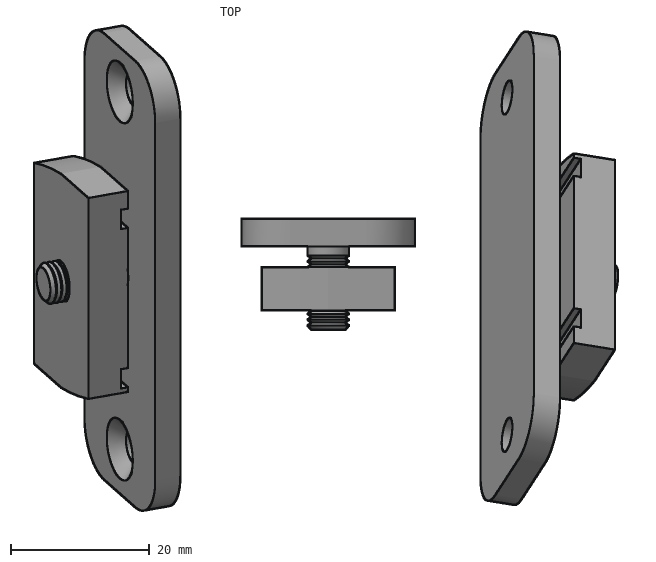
import cadquery as cq

PLATE_WIDTH = 25.0
PLATE_HEIGHT = 70.0
PLATE_THICKNESS = 4.0
PLATE_CORNER_RADIUS = 7.0
SCREW_HOLE_OFFSET = 28.0
SCREW_HOLE_DIAMETER = 5.0
COUNTERSINK_DIAMETER = 9.2
COUNTERSINK_ANGLE = 90.0

BLOCK_GAP = 3.0
BLOCK_WIDTH = 19.2
BLOCK_HEIGHT = 33.5
BLOCK_THICKNESS = 6.2
BLOCK_ARC_DROP = 2.0
BLOCK_ARC_RADIUS = 52.5
SLOT_DEPTH = 1.05
SLOT_WIDTH = 3.0
SLOT_OUTER_OFFSET = 14.0

STUD_LENGTH = 12.05
STUD_DIAMETER = 6.0
SHANK_LENGTH = 1.3
THREAD_ROOT_DIAMETER = 4.9
THREAD_PITCH = 0.85
THREAD_CREST_COUNT = 12

BLOCK_BACK_Y = -BLOCK_GAP
STUD_RADIUS = STUD_DIAMETER / 2
THREAD_ROOT_RADIUS = THREAD_ROOT_DIAMETER / 2


def front_plane(y):
    """Workplane at Y = y whose normal points toward -Y, with X to the right and Z up."""
    return cq.Workplane("XZ", origin=(0, y, 0))


def make_plate():
    """Rounded plate with a countersunk screw hole near each end."""
    plate = (
        front_plane(PLATE_THICKNESS)
        .rect(PLATE_WIDTH, PLATE_HEIGHT)
        .extrude(PLATE_THICKNESS)
        .edges("|Y")
        .fillet(PLATE_CORNER_RADIUS)
    )
    return (
        plate.faces("<Y")
        .workplane(origin=(0, 0, 0))
        .pushPoints([(0, -SCREW_HOLE_OFFSET), (0, SCREW_HOLE_OFFSET)])
        .cskHole(SCREW_HOLE_DIAMETER, COUNTERSINK_DIAMETER, COUNTERSINK_ANGLE)
    )


def make_block():
    """Clamp block with one arched half at each end, two cross slots in its back and a stud hole."""
    half_width = BLOCK_WIDTH / 2
    half_height = BLOCK_HEIGHT / 2
    corner_z = half_height - BLOCK_ARC_DROP
    block = (
        front_plane(BLOCK_BACK_Y)
        .moveTo(half_width, half_height)
        .lineTo(0, half_height)
        .radiusArc((-half_width, corner_z), -BLOCK_ARC_RADIUS)
        .lineTo(-half_width, -half_height)
        .lineTo(0, -half_height)
        .radiusArc((half_width, -corner_z), -BLOCK_ARC_RADIUS)
        .close()
        .extrude(BLOCK_THICKNESS)
    )
    slot_offset = SLOT_OUTER_OFFSET - SLOT_WIDTH / 2
    slots = (
        front_plane(BLOCK_BACK_Y)
        .pushPoints([(0, -slot_offset), (0, slot_offset)])
        .rect(BLOCK_WIDTH, SLOT_WIDTH)
        .extrude(SLOT_DEPTH)
    )
    stud_hole = front_plane(BLOCK_BACK_Y).circle(STUD_RADIUS).extrude(BLOCK_THICKNESS)
    return block.cut(slots).cut(stud_hole)


def make_stud():
    """Stud with a plain shank and a thread of ring grooves with a tapered tip, revolved about the Y axis."""
    profile = cq.Workplane("XY").lineTo(STUD_RADIUS, 0).lineTo(STUD_RADIUS, -SHANK_LENGTH)
    for groove in range(THREAD_CREST_COUNT):
        root_y = -SHANK_LENGTH - (groove + 0.5) * THREAD_PITCH
        crest_y = -SHANK_LENGTH - (groove + 1) * THREAD_PITCH
        profile = profile.lineTo(THREAD_ROOT_RADIUS, root_y).lineTo(STUD_RADIUS, crest_y)
    profile = profile.lineTo(THREAD_ROOT_RADIUS, -STUD_LENGTH).lineTo(0, -STUD_LENGTH).close()
    return profile.revolve(360, (0, 0, 0), (0, 1, 0))


plate = make_plate()
block = make_block()
stud = make_stud()

result = cq.Compound.makeCompound([plate.val(), block.val(), stud.val()])